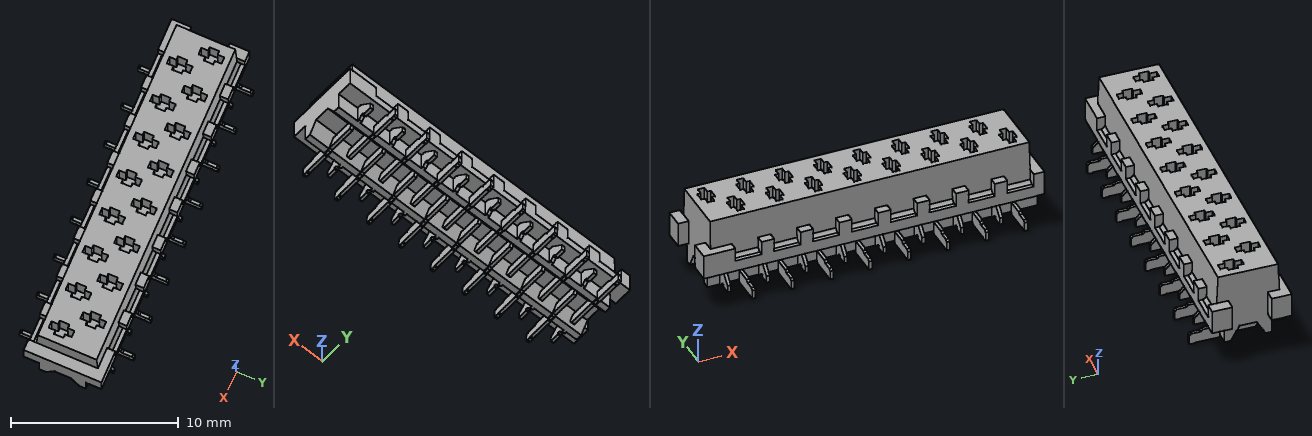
import cadquery as cq
import math

length = 22.25
height = 5.25
tail_reach = 3.45

block_left = 0.7
block_right = 21.54
block_half_top = 1.91
block_half_foot = 2.02
collar_half = 2.54
collar_bottom = 1.7
collar_top = 3.32
ear_inner = 1.25
base_half = 1.51
base_bottom = 0.25

channel_half_bottom = 1.1
channel_half_top = 0.53
channel_top = 1.25

window_length = 1.71
window_floor = 2.43
window_ledge = 2.27
fillet_top = 2.63
fillet_sag = 0.033

contact_count = 16
contact_pitch = 1.27
contact_thickness = 0.22
row_offset = 0.75
shank_top = 0.91
shank_end = 2.58
tail_top = 0.78
tail_bevel = 0.13
tail_underside = 0.05
toe_length = 0.2
toe_slant = 0.1
heel_slant = 0.07
heel_bottom = 0.13
crossbar_top = 0.98
crossbar_end = 1.34
notch_top = 0.55
notch_start = 0.8
notch_slant = 0.13
spur_reach = 2.67
spur_bottom = 0.38
spur_tip_top = 0.85
spur_root = 1.8
recess_top = 0.53
recess_start = 1.65
recess_slant = 0.22
recess_end = 2.02
contact_left = (length - (contact_count - 1) * contact_pitch) / 2

slot_long = 1.5
slot_narrow = 0.42
slot_wide = 0.9
slot_short = 0.62
slot_depth = 1.78


def box(x_range, y_range, z_range):
    """Box spanning the given (low, high) ranges."""
    spans = (x_range, y_range, z_range)
    sizes = [high - low for low, high in spans]
    lows = [low for low, high in spans]
    return cq.Workplane("XY").box(*sizes, centered=False).translate(tuple(lows))


def plate(outline, x_start, x_length):
    """Prism along +X from a closed (y, z) outline."""
    return cq.Workplane("YZ").polyline(outline).close().extrude(x_length).translate((x_start, 0, 0))


def make_mating_block():
    outline = [
        (-block_half_foot, collar_bottom),
        (block_half_foot, collar_bottom),
        (block_half_foot, fillet_top),
        (block_half_top, height),
        (-block_half_top, height),
        (-block_half_foot, fillet_top),
    ]
    return plate(outline, block_left, block_right - block_left)


def make_window(x_start, side):
    """Cutter for one collar window; side is -1 for -Y and +1 for +Y."""
    run = window_ledge - block_half_foot
    rise = fillet_top - window_floor
    chord = math.hypot(run, rise)
    arc_y = block_half_foot + run / 2 - fillet_sag * rise / chord
    arc_z = window_floor + rise / 2 - fillet_sag * run / chord
    profile = (
        cq.Workplane("YZ")
        .moveTo(side * collar_half, window_floor)
        .lineTo(side * window_ledge, window_floor)
        .threePointArc((side * arc_y, arc_z), (side * block_half_foot, fillet_top))
        .lineTo(side * block_half_top, collar_top)
        .lineTo(side * collar_half, collar_top)
        .close()
    )
    return profile.extrude(window_length).translate((x_start, 0, 0))


def make_collar():
    across = (-collar_half, collar_half)
    collar = box((0, length), across, (collar_bottom, collar_top))
    collar = collar.cut(box((0, block_left), (-ear_inner, ear_inner), (collar_bottom, collar_top)))
    for index in range(contact_count // 2):
        step = 2 * contact_pitch * index
        collar = collar.cut(make_window(block_left + step, 1))
        collar = collar.cut(make_window(block_right - window_length - step, -1))
    return collar


def make_base():
    base = box((block_left, length), (-base_half, base_half), (base_bottom, collar_bottom))
    channel = [
        (-channel_half_bottom, base_bottom),
        (channel_half_bottom, base_bottom),
        (channel_half_top, channel_top),
        (-channel_half_top, channel_top),
    ]
    return base.cut(plate(channel, block_left, length - block_left))


def make_slot(x, y):
    face = cq.Workplane("XY", origin=(x, y, height))
    long_bar = face.rect(slot_narrow, slot_long).extrude(-slot_depth)
    short_bar = face.rect(slot_wide, slot_short).extrude(-slot_depth)
    return long_bar.union(short_bar)


def make_contact(x, side):
    """Flat contact with its solder tail towards side and its retaining spur on the other side."""
    bevel_start = tail_reach - tail_bevel
    outline = [
        (crossbar_end, shank_top),
        (shank_end, shank_top),
        (shank_end + tail_bevel, tail_top),
        (bevel_start, tail_top),
        (tail_reach, tail_top - tail_bevel),
        (tail_reach, tail_underside),
        (bevel_start, 0),
        (bevel_start - toe_length, 0),
        (bevel_start - toe_length - toe_slant, tail_underside),
        (base_half, tail_underside),
        (base_half - heel_slant, heel_bottom),
        (channel_half_bottom + heel_slant, heel_bottom),
        (channel_half_bottom - heel_slant, base_bottom),
        (-notch_start, base_bottom),
        (-notch_start - notch_slant, notch_top),
        (-crossbar_end, notch_top),
        (-crossbar_end, base_bottom),
        (-recess_start, base_bottom),
        (-recess_start - recess_slant, recess_top),
        (-recess_end, recess_top),
        (-recess_end, spur_bottom),
        (-spur_reach, spur_bottom),
        (-spur_reach, spur_tip_top),
        (-spur_root, collar_bottom),
        (-crossbar_end, collar_bottom),
        (-crossbar_end, crossbar_top),
        (crossbar_end, crossbar_top),
    ]
    placed = [(side * y, z) for y, z in outline]
    return plate(placed, x - contact_thickness / 2, contact_thickness)


result = make_mating_block().union(make_collar()).union(make_base())
for index in range(contact_count):
    side = 1 if index % 2 == 0 else -1
    x = contact_left + contact_pitch * index
    result = result.cut(make_slot(x, side * row_offset))
    result = result.union(make_contact(x, side))